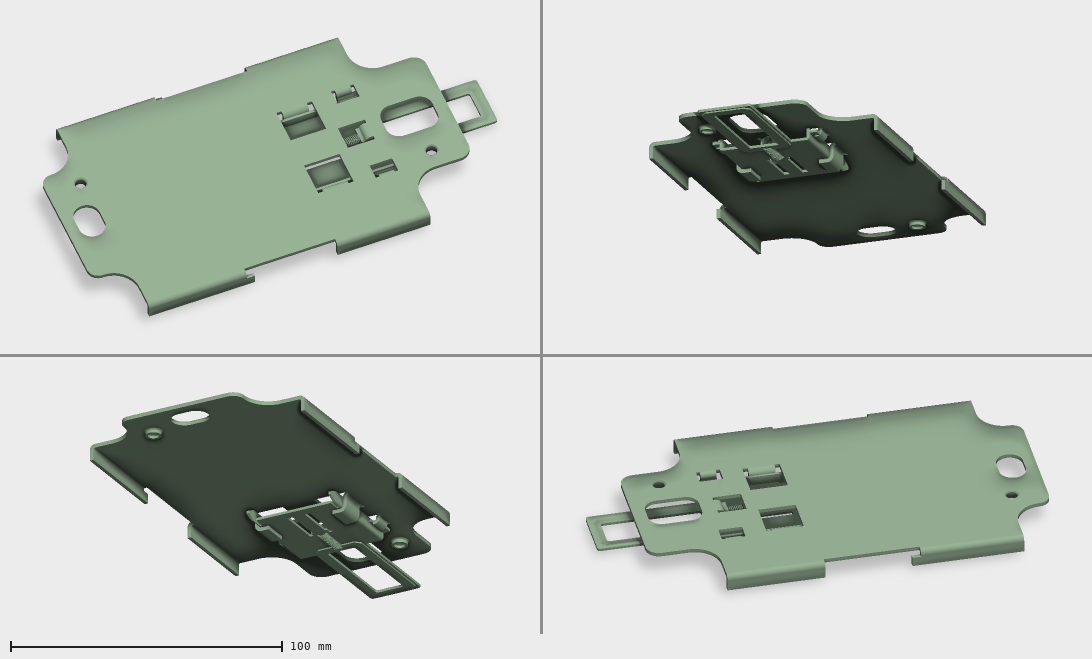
import cadquery as cq
import math


PLATE_THICK = 1.5
BEND_INNER = 0.5
BEND_OUTER = BEND_INNER + PLATE_THICK
PLATE_HALF_LENGTH = 76.1
PLATE_HALF_WIDTH = 45.0
WING_TOP = 50.7
WING_BOTTOM = -61.3
NECK_HALF_WIDTH = 25.2
NECK_INNER_RADIUS = 10.0
NECK_TOP_RADIUS = 5.0
NECK_BOTTOM_RADIUS = 4.4

BEND_LINE = PLATE_HALF_WIDTH - BEND_OUTER
FLANGE_DEPTH = 6.4
UPPER_FLANGE_END = 13.8
LOWER_FLANGE_START = -22.3
WAIST_HALF_WIDTH = 42.3
NOSE_LENGTH = 3.2
NOSE_TOP = -2.7

SLOT_WIDTH = 15.0
SLOT_RADIUS = 5.0
UPPER_SLOT_LENGTH = 20.3
UPPER_SLOT_Y = WING_TOP + UPPER_SLOT_LENGTH / 2
LOWER_SLOT_LENGTH = 2 * SLOT_RADIUS
LOWER_SLOT_Y = -66.5
COLLAR_PLACES = [(17.5, 62.5), (-17.5, -62.8)]
COLLAR_DIAMETER = 6.0
COLLAR_DEPTH = 1.7
COLLAR_FLARE = 0.5
COLLAR_HOLE = 4.2
COLLAR_CHAMFER = 0.5

CLIP_X = 21.7
CLIP_RUN = 3.2
CLIP_DROP = 2.7
CLIP_TOP = 46.2
CLIP_BOTTOM = 40.2
CLIP_WINDOW_INNER = 15.6
CLIP_WINDOW_TOP = 47.5
CLIP_WINDOW_BOTTOM = 38.6
HOOK_X = 20.2
HOOK_RUN = 6.7
HOOK_DROP = 6.5
HOOK_BEND = 1.0
HOOK_TOP = 28.4
HOOK_BOTTOM = 18.3
HOOK_WINDOW_INNER = 6.4
HOOK_WINDOW_TOP = 30.4
HOOK_WINDOW_BOTTOM = 16.3
STOP_WIDTH = 6.7
STOP_BEND_Y = 44.2
STOP_RUN = 3.5
STOP_DROP = 1.7
STOP_WINDOW_HALF_WIDTH = 4.9
STOP_WINDOW_TOP = 45.2
STOP_WINDOW_BOTTOM = 34.5

SLIDER_THICK = 1.0
SLIDER_BOTTOM = -6.4
SLIDER_TOP = SLIDER_BOTTOM + SLIDER_THICK
SLIDER_HALF_WIDTH = 17.6
RAIL_INNER = SLIDER_HALF_WIDTH - SLIDER_THICK
RAIL_TOP = -1.8
RAIL_TIP_START = 12.8
RAIL_TIP_END = 9.0
RAIL_TIP_HEIGHT = 1.0
BODY_TOP = 49.5
BASE_NOTCH_START = 17.5
BASE_NOTCH_INNER = 15.6
LIP_X = CLIP_X - CLIP_RUN
LUG_X = 20.5
LIP_TOP = -CLIP_DROP

HANDLE_END = 168 - PLATE_HALF_LENGTH
HANDLE_HALF_WIDTH = 10.5
HANDLE_CORNER = 1.0
PAD_MARGIN = 0.8
DISH_MARGIN = 1.5
FLOOR_MARGIN = 3.0
OPENING_MARGIN = 4.7
DISH_DEPTH = 0.5
DISH_CORNER = 2.0
OPENING_END = 49.4
OPENING_RADIUS = 0.8

SPRING_Z = -4.7
SPRING_RADIUS = 2.7
SPRING_CLEARANCE = 0.08
WIRE_RADIUS = 0.25
SPRING_PITCH = 0.7
SPRING_TOP = 47.5
SPRING_BOTTOM = 34.3
SEAT_HALF_WIDTH = 3.4
SEAT_TOP = -3.4
SEAT_BEND = 1.0
TONGUE_HALF_WIDTH = 2.5
RELIEF_OUTER = 4.7
RELIEF_BOTTOM = 16.8


def block(x0, x1, y0, y1, z0, z1):
    """Box between opposite corners."""
    size = (abs(x1 - x0), abs(y1 - y0), abs(z1 - z0))
    return cq.Workplane("XY").box(*size).translate(((x0 + x1) / 2, (y0 + y1) / 2, (z0 + z1) / 2))


def mirrored_pair(shape):
    """The shape together with its mirror image across X = 0."""
    return shape.union(shape.mirror("YZ"))


def spring_space():
    """Cylinder that the spring lies in, cut out of the bodies around it."""
    disc = cq.Workplane("XZ", origin=(0, SPRING_BOTTOM, SPRING_Z)).circle(SPRING_RADIUS + SPRING_CLEARANCE)
    return disc.extrude(SPRING_BOTTOM - SPRING_TOP)


def plate_sheet():
    wings = block(-BEND_LINE, BEND_LINE, WING_BOTTOM, WING_TOP, -PLATE_THICK, 0)
    neck = block(-NECK_HALF_WIDTH, NECK_HALF_WIDTH, -PLATE_HALF_LENGTH, PLATE_HALF_LENGTH, -PLATE_THICK, 0)
    neck = neck.edges("|Z and >Y").fillet(NECK_TOP_RADIUS)
    neck = neck.edges("|Z and <Y").fillet(NECK_BOTTOM_RADIUS)
    sheet = wings.union(neck)
    for wing_edge, outward in [(WING_TOP, 1), (WING_BOTTOM, -1)]:
        sheet = sheet.union(mirrored_pair(neck_corner(wing_edge, outward)))
    waist_cut = block(WAIST_HALF_WIDTH, PLATE_HALF_WIDTH, LOWER_FLANGE_START, UPPER_FLANGE_END, -PLATE_THICK, 0)
    return sheet.cut(mirrored_pair(waist_cut))


def neck_corner(wing_edge, outward):
    """Concave rounding between the neck and a wing edge."""
    r = NECK_INNER_RADIUS
    mid = r * (1 - math.sqrt(0.5))
    corner = (
        cq.Workplane("XY", origin=(0, 0, -PLATE_THICK))
        .moveTo(NECK_HALF_WIDTH, wing_edge)
        .lineTo(NECK_HALF_WIDTH, wing_edge + outward * r)
        .threePointArc(
            (NECK_HALF_WIDTH + mid, wing_edge + outward * mid),
            (NECK_HALF_WIDTH + r, wing_edge),
        )
        .close()
    )
    return corner.extrude(PLATE_THICK)


def side_flange(y0, y1):
    """Flange on the +X side, bent down from the sheet."""
    root = BEND_LINE - BEND_INNER
    outside = block(root, PLATE_HALF_WIDTH, y0, y1, -FLANGE_DEPTH, 0)
    outside = outside.edges("|Y and >X and >Z").fillet(BEND_OUTER)
    inside = block(root, PLATE_HALF_WIDTH - PLATE_THICK, y0, y1, -FLANGE_DEPTH, -PLATE_THICK)
    inside = inside.edges("|Y and >X and >Z").fillet(BEND_INNER)
    return outside.cut(inside)


def flanges():
    upper = side_flange(UPPER_FLANGE_END, WING_TOP)
    lower = side_flange(WING_BOTTOM, LOWER_FLANGE_START)
    nose = block(
        PLATE_HALF_WIDTH - PLATE_THICK, PLATE_HALF_WIDTH,
        LOWER_FLANGE_START, LOWER_FLANGE_START + NOSE_LENGTH,
        -FLANGE_DEPTH, NOSE_TOP,
    )
    return mirrored_pair(upper.union(lower).union(nose))


def joggled_tab(drop, run, width, bend_inner):
    """Sheet tab along +X that bends down by `drop` and then runs level again; bend starts at X = 0."""
    bend_outer = bend_inner + PLATE_THICK
    steepness = 1 - drop / (bend_inner + bend_outer)
    angle = math.acos(max(steepness, 0))
    low_x = (bend_inner + bend_outer) * math.sin(angle)
    low_z = -drop + bend_inner

    def upper_bend(radius, turned):
        return (radius * math.sin(turned), -bend_outer + radius * math.cos(turned))

    def lower_bend(radius, turned):
        return (low_x - radius * math.sin(turned), low_z - radius * math.cos(turned))

    profile = cq.Workplane("XZ").moveTo(0, 0)
    profile = profile.threePointArc(upper_bend(bend_outer, angle / 2), upper_bend(bend_outer, angle))
    if steepness < 0:
        profile = profile.lineTo(*lower_bend(bend_inner, angle))
    profile = profile.threePointArc(lower_bend(bend_inner, angle / 2), lower_bend(bend_inner, 0))
    profile = profile.lineTo(run, -drop).lineTo(run, -drop - PLATE_THICK).lineTo(low_x, -drop - PLATE_THICK)
    profile = profile.threePointArc(lower_bend(bend_outer, angle / 2), lower_bend(bend_outer, angle))
    if steepness < 0:
        profile = profile.lineTo(*upper_bend(bend_inner, angle))
    profile = profile.threePointArc(upper_bend(bend_inner, angle / 2), upper_bend(bend_inner, 0))
    return profile.close().extrude(width / 2, both=True)


def inward_tabs(tab, bend_x, y0, y1):
    """Pair of joggled tabs that point toward the middle of the plate."""
    return mirrored_pair(tab.translate((-bend_x, (y0 + y1) / 2, 0)))


def plate_windows():
    clip = block(CLIP_WINDOW_INNER, CLIP_X, CLIP_WINDOW_BOTTOM, CLIP_WINDOW_TOP, -PLATE_THICK, 0)
    hook = block(HOOK_WINDOW_INNER, HOOK_X, HOOK_WINDOW_BOTTOM, HOOK_WINDOW_TOP, -PLATE_THICK, 0)
    stop = block(
        -STOP_WINDOW_HALF_WIDTH, STOP_WINDOW_HALF_WIDTH,
        STOP_WINDOW_BOTTOM, STOP_WINDOW_TOP,
        -PLATE_THICK, 0,
    )
    stop_root = block(-STOP_WIDTH / 2, STOP_WIDTH / 2, STOP_BEND_Y, STOP_WINDOW_TOP, -PLATE_THICK, 0)
    return mirrored_pair(clip.union(hook)).union(stop.cut(stop_root))


def plate_tabs():
    clip = joggled_tab(CLIP_DROP, CLIP_RUN, CLIP_TOP - CLIP_BOTTOM, BEND_INNER)
    hook = joggled_tab(HOOK_DROP, HOOK_RUN, HOOK_TOP - HOOK_BOTTOM, HOOK_BEND)
    stop = joggled_tab(STOP_DROP, STOP_RUN, STOP_WIDTH, BEND_INNER)
    stop = stop.rotate((0, 0, 0), (0, 0, 1), -90).translate((0, STOP_BEND_Y, 0))
    return [
        inward_tabs(clip, CLIP_X, CLIP_BOTTOM, CLIP_TOP),
        inward_tabs(hook, HOOK_X, HOOK_BOTTOM, HOOK_TOP),
        stop.cut(spring_space()),
    ]


def mounting_slots():
    half = SLOT_WIDTH / 2
    upper = block(
        -half, half,
        UPPER_SLOT_Y - UPPER_SLOT_LENGTH / 2, UPPER_SLOT_Y + UPPER_SLOT_LENGTH / 2,
        -PLATE_THICK, 0,
    )
    upper = upper.edges("|Z").fillet(SLOT_RADIUS)
    lower = (
        cq.Workplane("XY", origin=(0, LOWER_SLOT_Y, -PLATE_THICK))
        .slot2D(SLOT_WIDTH, LOWER_SLOT_LENGTH)
        .extrude(PLATE_THICK)
    )
    return upper.union(lower)


def add_collars(plate):
    """Extruded collars under the plate, each with a through hole and a chamfered entry."""
    radius = COLLAR_DIAMETER / 2
    bottom = -PLATE_THICK - COLLAR_DEPTH
    hole = COLLAR_HOLE / 2
    for x, y in COLLAR_PLACES:
        section = cq.Workplane("XZ").polyline([
            (0, -PLATE_THICK),
            (radius + COLLAR_FLARE, -PLATE_THICK),
            (radius, -PLATE_THICK - COLLAR_FLARE),
            (radius, bottom),
            (0, bottom),
        ]).close()
        bore = cq.Workplane("XZ").polyline([
            (0, 0),
            (hole + COLLAR_CHAMFER, 0),
            (hole, -COLLAR_CHAMFER),
            (hole, bottom),
            (0, bottom),
        ]).close()
        collar = section.revolve(360, (0, 0, 0), (0, 1, 0)).translate((x, y, 0))
        plate = plate.union(collar).cut(bore.revolve(360, (0, 0, 0), (0, 1, 0)).translate((x, y, 0)))
    return plate


def make_plate():
    plate = plate_sheet().union(flanges())
    plate = plate.cut(plate_windows()).cut(mounting_slots())
    for tab in plate_tabs():
        plate = plate.union(tab)
    return add_collars(plate)


def slider_channel():
    """Base with upturned rails; the rails run on past the base to a blunt point."""
    half = SLIDER_HALF_WIDTH
    channel = block(-half, half, RAIL_TIP_END, BODY_TOP, SLIDER_BOTTOM, RAIL_TOP)
    channel = channel.edges("|Y and <Z").fillet(SLIDER_THICK)
    inside = block(-RAIL_INNER, RAIL_INNER, RAIL_TIP_END, BODY_TOP, SLIDER_TOP, RAIL_TOP)
    base_end = block(-RAIL_INNER, RAIL_INNER, RAIL_TIP_END, RAIL_TIP_START, SLIDER_BOTTOM, RAIL_TOP)
    notch = block(BASE_NOTCH_INNER, RAIL_INNER, RAIL_TIP_START, BASE_NOTCH_START, SLIDER_BOTTOM, RAIL_TOP)
    channel = channel.cut(inside).cut(base_end).cut(mirrored_pair(notch))
    return channel.intersect(rail_outline())


def rail_outline():
    """Side outline of the rails, as wide as the whole slider."""
    middle = (RAIL_TOP + SLIDER_BOTTOM) / 2
    outline = cq.Workplane("YZ").polyline([
        (BODY_TOP, SLIDER_BOTTOM),
        (BODY_TOP, RAIL_TOP),
        (RAIL_TIP_START, RAIL_TOP),
        (RAIL_TIP_END, middle + RAIL_TIP_HEIGHT / 2),
        (RAIL_TIP_END, middle - RAIL_TIP_HEIGHT / 2),
        (RAIL_TIP_START, SLIDER_BOTTOM),
    ]).close()
    return outline.extrude(SLIDER_HALF_WIDTH, both=True)


def slider_lips():
    """Ledges outside the rails, each with a wider lug that rests against a plate clip."""
    lip_bottom = LIP_TOP - SLIDER_THICK
    lip = block(RAIL_INNER, LIP_X, CLIP_WINDOW_BOTTOM, BODY_TOP, lip_bottom, LIP_TOP)
    lug = block(RAIL_INNER, LUG_X, CLIP_TOP, BODY_TOP, lip_bottom, LIP_TOP)
    return mirrored_pair(lip.union(lug))


def loop_block(margin, z0, z1):
    """Block set in from the handle edge by `margin` and past the end of the opening to match."""
    half = HANDLE_HALF_WIDTH - margin
    near_end = OPENING_END - (OPENING_MARGIN - margin)
    return block(-half, half, near_end, HANDLE_END - margin, z0, z1)


def dish_recess():
    """Recess with cut corners whose sides slope in from the dish margin to the floor margin."""
    slope = FLOOR_MARGIN - DISH_MARGIN
    half = HANDLE_HALF_WIDTH - DISH_MARGIN
    far_end = HANDLE_END - DISH_MARGIN
    near_end = OPENING_END - OPENING_MARGIN + DISH_MARGIN
    rim = cq.Workplane("XY", origin=(0, 0, SLIDER_TOP)).polyline([
        (half - DISH_CORNER, far_end),
        (half, far_end - DISH_CORNER),
        (half, near_end + DISH_CORNER),
        (half - DISH_CORNER, near_end),
        (DISH_CORNER - half, near_end),
        (-half, near_end + DISH_CORNER),
        (-half, far_end - DISH_CORNER),
        (DISH_CORNER - half, far_end),
    ]).close()
    return rim.extrude(-DISH_DEPTH, taper=math.degrees(math.atan(slope / DISH_DEPTH)))


def add_handle(slider):
    handle = block(-HANDLE_HALF_WIDTH, HANDLE_HALF_WIDTH, BODY_TOP, HANDLE_END, SLIDER_BOTTOM, SLIDER_TOP)
    handle = handle.edges("|Z and >Y").fillet(HANDLE_CORNER)
    pad = loop_block(PAD_MARGIN, SLIDER_BOTTOM - DISH_DEPTH, SLIDER_BOTTOM)
    pad = pad.edges("|Z").chamfer(DISH_CORNER)
    opening = loop_block(OPENING_MARGIN, SLIDER_BOTTOM - DISH_DEPTH, SLIDER_TOP)
    opening = opening.edges("|Z").fillet(OPENING_RADIUS)
    return slider.union(handle).union(pad).cut(dish_recess()).cut(opening)


def add_spring_seat(slider):
    """Slot for the spring, and a tongue between two relief slots, bent up to close the slot's end."""
    back = SPRING_BOTTOM - SLIDER_THICK
    relief = block(TONGUE_HALF_WIDTH, RELIEF_OUTER, RELIEF_BOTTOM, SPRING_BOTTOM, SLIDER_BOTTOM, SLIDER_TOP)
    upright = block(-SEAT_HALF_WIDTH, SEAT_HALF_WIDTH, back - SEAT_BEND, SPRING_BOTTOM, SLIDER_BOTTOM, SEAT_TOP)
    bend_space = block(-SEAT_HALF_WIDTH, SEAT_HALF_WIDTH, back - 2 * SEAT_BEND, back, SLIDER_TOP, SEAT_TOP)
    bend_space = bend_space.edges("|X and >Y and <Z").fillet(SEAT_BEND)
    slider = slider.cut(mirrored_pair(relief)).union(upright.cut(bend_space))
    return slider.cut(spring_space())


def make_slider():
    slider = slider_channel().union(slider_lips())
    return add_spring_seat(add_handle(slider))


def make_spring():
    """Coil along Y in the slider slot, from the seat to the far end of the slot."""
    coil_radius = SPRING_RADIUS - WIRE_RADIUS
    end_gap = WIRE_RADIUS + SPRING_CLEARANCE
    length = SPRING_TOP - SPRING_BOTTOM - 2 * end_gap
    path = cq.Workplane(cq.Wire.makeHelix(SPRING_PITCH, length, coil_radius))
    wire = cq.Workplane("XZ", origin=(coil_radius, 0, 0)).circle(WIRE_RADIUS)
    coil = wire.sweep(path, isFrenet=True)
    coil = coil.rotate((0, 0, 0), (1, 0, 0), -90)
    return coil.translate((0, SPRING_BOTTOM + end_gap, SPRING_Z))


plate = make_plate()
slider = make_slider()
spring = make_spring()

result = cq.Compound.makeCompound([plate.solids().val(), slider.solids().val(), spring.solids().val()])